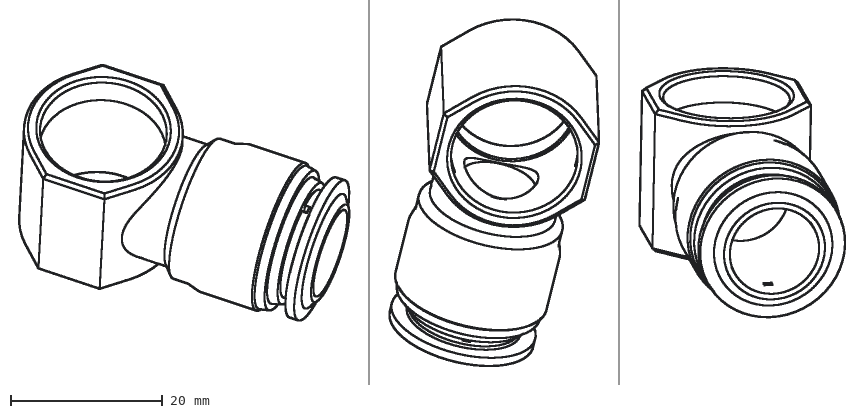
import cadquery as cq
import math

OVERALL_LENGTH = 43.5

LEAN_DEGREES_ABOUT_X = -0.7
LEAN_DEGREES_ABOUT_Y = 1.8
LEAN_DEGREES_ABOUT_Z = -0.5

BODY_RADIUS = 10.5
BODY_HEIGHT = 19.9
BODY_CHAMFER = 0.52

BORE_RADIUS = 8.35
BORE_CHAMFER = 0.52
UNDERCUT_RADIUS = 8.7
UNDERCUT_DEPTH = 4.2
UNDERCUT_TAPER = 2.17

NECK_RADIUS = 8.5
SHOULDER_RADIUS = 9.75
SLEEVE_RADIUS = 10.25
RING_RADII = (9.95, 9.7)
LIP_RADII = (8.8, 8.45)
COLLET_RADIUS = 7.5
FLANGE_ROOT_RADIUS = 7.7
FLANGE_RADIUS = 9.75
NOSE_RADII = (7.95, 6.8)

NECK_END = 12.4
SHOULDER_START = 13.55
SHOULDER_END = 15.75
SLEEVE_START = 17.53
SLEEVE_END = 25.55
RING_START = 25.8
RING_END = 27.1
LIP_END = 28.45
FLANGE_ROOT_START = 29.6
FLANGE_BACK = 30.0
FLANGE_BACK_RIM = 30.05
FLANGE_FRONT_RIM = 31.3
NOSE_START = 31.65

RIM_RISE = BODY_HEIGHT / 2 - BODY_CHAMFER + NOSE_RADII[1]
LEAN_Y = math.radians(LEAN_DEGREES_ABOUT_Y)
NOSE_END = (OVERALL_LENGTH - RIM_RISE * math.sin(LEAN_Y)) / math.cos(LEAN_Y) - BODY_RADIUS

RECESS_RADIUS = 5.0
RECESS_FLOOR = 8.8

SOCKET_RADIUS = 6.0
SOCKET_FLOOR = NECK_END

SLOT_LENGTH = 0.7
SLOT_WIDTH = 1.05


def make_body():
    corner_x = BODY_RADIUS * math.tan(math.radians(45) / 2)
    tangent = BODY_RADIUS * math.cos(math.radians(45))
    return (
        cq.Workplane("XY")
        .moveTo(-corner_x, -BODY_RADIUS)
        .lineTo(corner_x, -BODY_RADIUS)
        .lineTo(tangent, -tangent)
        .threePointArc((BODY_RADIUS, 0), (tangent, tangent))
        .lineTo(corner_x, BODY_RADIUS)
        .lineTo(-corner_x, BODY_RADIUS)
        .lineTo(-tangent, tangent)
        .threePointArc((-BODY_RADIUS, 0), (-tangent, -tangent))
        .close()
        .extrude(BODY_HEIGHT / 2, both=True)
        .faces("|Z")
        .chamfer(BODY_CHAMFER)
    )


def make_branch():
    outline = [
        (0, 0),
        (0, NECK_RADIUS),
        (NECK_END, NECK_RADIUS),
        (SHOULDER_START, SHOULDER_RADIUS),
        (SHOULDER_END, SHOULDER_RADIUS),
        (SLEEVE_START, SLEEVE_RADIUS),
        (SLEEVE_END, SLEEVE_RADIUS),
        (RING_START, RING_RADII[0]),
        (RING_END, RING_RADII[1]),
        (RING_END, LIP_RADII[0]),
        (LIP_END, LIP_RADII[1]),
        (LIP_END, COLLET_RADIUS),
        (FLANGE_ROOT_START, COLLET_RADIUS),
        (FLANGE_BACK, FLANGE_ROOT_RADIUS),
        (FLANGE_BACK_RIM, FLANGE_RADIUS),
        (FLANGE_FRONT_RIM, FLANGE_RADIUS),
        (NOSE_START, NOSE_RADII[0]),
        (NOSE_END, NOSE_RADII[1]),
        (NOSE_END, 0),
    ]
    return cq.Workplane("XY").polyline(outline).close().revolve(360, (0, 0, 0), (1, 0, 0))


def make_body_bore():
    half = BODY_HEIGHT / 2
    mouth = BORE_RADIUS + BORE_CHAMFER
    chamfer_z = half - BORE_CHAMFER
    step_z = half - UNDERCUT_DEPTH
    outline = [
        (0, -half),
        (mouth, -half),
        (BORE_RADIUS, -chamfer_z),
        (BORE_RADIUS, -step_z - UNDERCUT_TAPER),
        (UNDERCUT_RADIUS, -step_z),
        (UNDERCUT_RADIUS, step_z),
        (BORE_RADIUS, step_z),
        (BORE_RADIUS, chamfer_z),
        (mouth, half),
        (0, half),
    ]
    return cq.Workplane("XZ").polyline(outline).close().revolve(360, (0, 0, 0), (0, 1, 0))


def make_side_recess():
    return cq.Workplane("YZ").circle(RECESS_RADIUS).extrude(RECESS_FLOOR)


def make_tube_socket():
    return (
        cq.Workplane("YZ")
        .workplane(offset=SOCKET_FLOOR)
        .circle(SOCKET_RADIUS)
        .extrude(NOSE_END - SOCKET_FLOOR)
    )


def make_collet_slots():
    slot_x = LIP_END + SLOT_LENGTH / 2
    return (
        cq.Workplane("XY")
        .center(slot_x, 0)
        .rect(SLOT_LENGTH, SLOT_WIDTH)
        .extrude(LIP_RADII[1], both=True)
    )


fitting = (
    make_body()
    .union(make_branch())
    .cut(make_body_bore())
    .cut(make_side_recess())
    .cut(make_tube_socket())
    .cut(make_collet_slots())
)

origin = (0, 0, 0)
result = (
    fitting
    .rotate(origin, (1, 0, 0), LEAN_DEGREES_ABOUT_X)
    .rotate(origin, (0, 1, 0), LEAN_DEGREES_ABOUT_Y)
    .rotate(origin, (0, 0, 1), LEAN_DEGREES_ABOUT_Z)
)